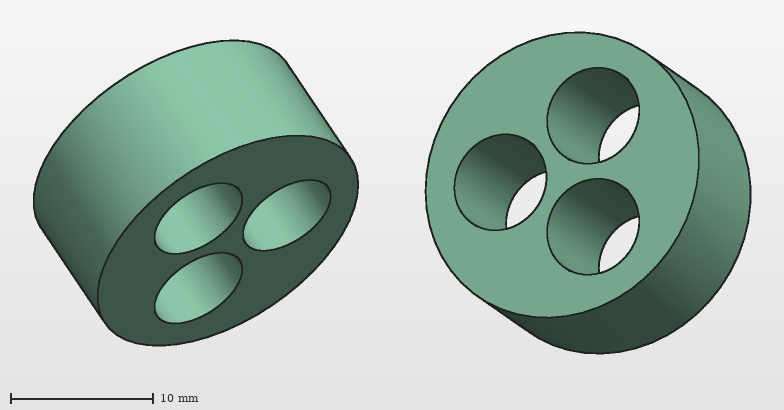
import cadquery as cq

disc_diameter = 20.8
disc_thickness = 9.5
hole_diameter = 7.0
hole_count = 3
hole_circle_radius = 4.7
first_hole_angle = 0
full_turn = 360


def end_face_plane():
    """YZ workplane on the -X end face, so that the disc is centred on the origin."""
    return cq.Workplane("YZ", origin=(-disc_thickness / 2, 0, 0))


def make_disc():
    """Round disc with its axis along X."""
    return end_face_plane().circle(disc_diameter / 2).extrude(disc_thickness)


def make_holes():
    """Evenly spaced cylinders that run through the full thickness of the disc."""
    return (
        end_face_plane()
        .polarArray(hole_circle_radius, first_hole_angle, full_turn, hole_count)
        .circle(hole_diameter / 2)
        .extrude(disc_thickness)
    )


result = make_disc().cut(make_holes())